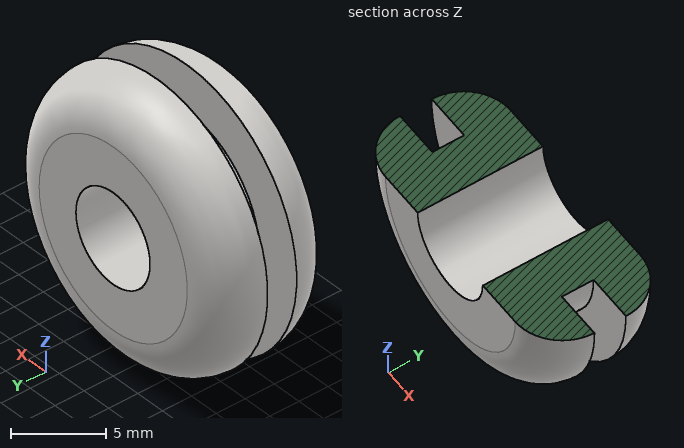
import cadquery as cq

outer_diameter = 18.0
outer_radius = outer_diameter / 2
neck_radius = outer_radius * 2 / 3
bore_radius = outer_radius / 3
lip_radius = outer_radius - neck_radius
groove_width = 2.0
half_groove = groove_width / 2


def make_profile():
    """Half section of the grommet in the XY plane, to the +X side of the bore axis."""
    half_width = half_groove + lip_radius
    return (
        cq.Workplane("XY")
        .moveTo(bore_radius, -half_width)
        .lineTo(neck_radius, -half_width)
        .radiusArc((outer_radius, -half_groove), -lip_radius)
        .lineTo(neck_radius, -half_groove)
        .lineTo(neck_radius, half_groove)
        .lineTo(outer_radius, half_groove)
        .radiusArc((neck_radius, half_width), -lip_radius)
        .lineTo(bore_radius, half_width)
        .close()
    )


result = make_profile().revolve(360, (0, 0, 0), (0, 1, 0))